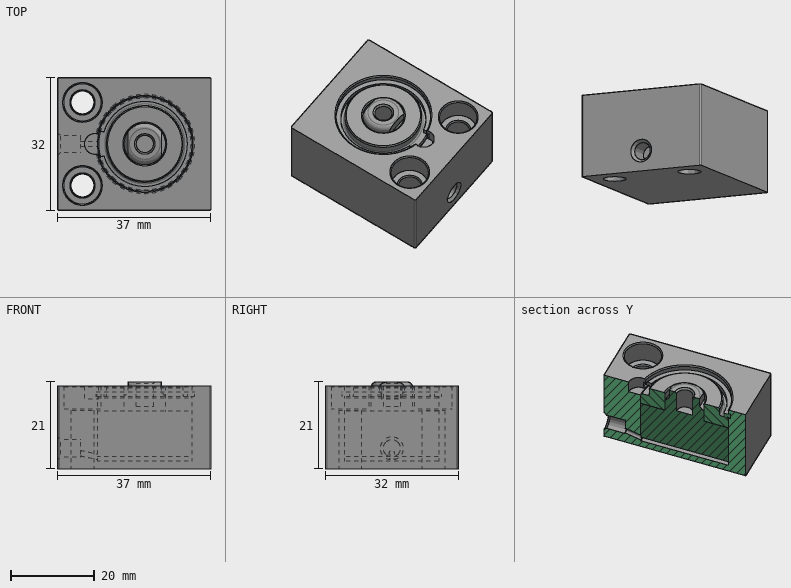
import cadquery as cq
import math

length = 37.0
width = 32.0
height = 20.0
corner_radius = 0.4
edge_break = 0.3

bore_x = 21.0
bore_diameter = 22.8
bore_floor = 2.0

ring_top = height - 1.4
ring_thickness = 1.2
ring_bottom = ring_top - ring_thickness
ring_outer_diameter = 24.0
ring_inner_diameter = 20.5
ring_gap_angle = 32.5
cap_top = height - 0.2
cap_boss_diameter = 18.5
cap_fillet = 0.37
cap_bottom = 14.0

notch_x = 9.0
notch_diameter = 5.0
notch_floor = ring_bottom - 0.55

mount_x = 6.0
mount_spacing = 20.0
mount_diameter = 5.5
counterbore_diameter = 9.0
counterbore_depth = 5.6

port_z = 5.0
port_diameter = 4.15
port_depth = 5.5
port_chamfer = 0.7
feed_diameter = 1.3
feed_z = 3.8
feed_angle = 12.0
feed_length = 5.55
feed_overlap = 0.37

rod_diameter = 10.0
rod_top = 21.0
rod_fillet = 1.3
piston_bottom = bore_floor + 1.0
end_hole_diameter = 4.15
end_hole_depth = 6.0
end_hole_chamfer = 0.4
flats_width = 8.0
flats_bottom = height - 1.48


def disc(diameter, bottom, top, x=bore_x, y=0.0):
    """Upright cylinder between two heights."""
    return cq.Workplane("XY", origin=(x, y, bottom)).circle(diameter / 2).extrude(top - bottom)


def countersink(diameter, top, depth, x=bore_x, y=0.0):
    """Cone cutter for a 45 degree break at the upper rim of a hole."""
    radius = diameter / 2
    cone = cq.Solid.makeCone(radius, radius + depth, depth, cq.Vector(x, y, top - depth))
    return cq.Workplane(obj=cone)


def mounting_hole(y):
    """Through hole with a counterbore, both with broken upper rims."""
    seat = height - counterbore_depth
    hole = disc(mount_diameter, 0, seat, mount_x, y)
    hole = hole.union(countersink(mount_diameter, seat, edge_break, mount_x, y))
    hole = hole.union(disc(counterbore_diameter, seat, height, mount_x, y))
    return hole.union(countersink(counterbore_diameter, height, edge_break, mount_x, y))


def side_port():
    """Blind port in the -X face and the feed hole sloping down into the bore."""
    radius = port_diameter / 2
    along_x = cq.Vector(1, 0, 0)
    port = cq.Solid.makeCylinder(radius, port_depth, cq.Vector(0, 0, port_z), along_x)
    mouth = cq.Solid.makeCone(
        radius + port_chamfer, radius, port_chamfer, cq.Vector(0, 0, port_z), along_x
    )
    angle = math.radians(feed_angle)
    feed = cq.Solid.makeCylinder(
        feed_diameter / 2,
        feed_length,
        cq.Vector(port_depth - feed_overlap, 0, feed_z + feed_overlap * math.tan(angle)),
        cq.Vector(math.cos(angle), 0, -math.sin(angle)),
    )
    return cq.Workplane(obj=port).union(cq.Workplane(obj=mouth)).union(cq.Workplane(obj=feed))


def make_housing():
    block = cq.Workplane("XY").box(length, width, height, centered=(False, True, False))
    block = block.edges("|Z").fillet(corner_radius)
    block = block.cut(disc(bore_diameter, bore_floor, height))
    block = block.cut(countersink(bore_diameter, height, edge_break))
    block = block.cut(disc(ring_outer_diameter, ring_bottom, ring_top))
    block = block.cut(disc(notch_diameter, notch_floor, height, notch_x))
    for y in (-mount_spacing / 2, mount_spacing / 2):
        block = block.cut(mounting_hole(y))
    return block.cut(side_port())


def retaining_ring():
    """Flat ring with a radial gap facing -X."""
    ring = disc(ring_outer_diameter, ring_bottom, ring_top)
    ring = ring.cut(disc(ring_inner_diameter, ring_bottom, ring_top))
    half_gap = ring_outer_diameter * math.tan(math.radians(ring_gap_angle / 2))
    gap = (
        cq.Workplane("XY", origin=(bore_x, 0, ring_bottom))
        .polyline([(0, 0), (-ring_outer_diameter, half_gap), (-ring_outer_diameter, -half_gap)])
        .close()
        .extrude(ring_thickness)
    )
    return ring.cut(gap)


def make_cap():
    """Flanged cap, with its retaining ring, around the rod."""
    flange = disc(bore_diameter, cap_bottom, ring_bottom).faces(">Z").chamfer(edge_break)
    boss = disc(cap_boss_diameter, ring_bottom, cap_top).faces(">Z").chamfer(edge_break)
    cap = flange.union(boss)
    boss_base = cq.selectors.NearestToPointSelector((bore_x, 0, ring_bottom))
    inner_edge = cq.selectors.RadiusNthSelector(0)
    cap = cap.faces(boss_base).edges(inner_edge).fillet(cap_fillet)
    cap = cap.cut(disc(rod_diameter, cap_bottom, cap_top))
    cap = cap.cut(countersink(rod_diameter, cap_top, edge_break))
    return cap.union(retaining_ring())


def wrench_flat(side):
    """Cutter for one flat, ending below in a 45 degree slope; side is -1 or 1."""
    inner = flats_width / 2
    run = rod_diameter / 2 - inner
    return (
        cq.Workplane("XZ", origin=(bore_x, 0, 0))
        .moveTo(side * inner, rod_top)
        .lineTo(side * inner, flats_bottom)
        .lineTo(side * (inner + run), flats_bottom - run)
        .lineTo(side * (inner + run), rod_top)
        .close()
        .extrude(rod_diameter / 2, both=True)
    )


def make_piston():
    """Piston head and rod with a rounded end, wrench flats and a blind hole in its end."""
    rod = disc(rod_diameter, cap_bottom, rod_top).faces(">Z").edges().fillet(rod_fillet)
    piston = disc(bore_diameter, piston_bottom, cap_bottom).union(rod)
    for side in (-1, 1):
        piston = piston.cut(wrench_flat(side))
    piston = piston.cut(disc(end_hole_diameter, rod_top - end_hole_depth, rod_top))
    return piston.cut(countersink(end_hole_diameter, rod_top, end_hole_chamfer))


housing = make_housing()
cap = make_cap()
piston = make_piston()
result = cq.Compound.makeCompound([housing.val(), cap.val(), piston.val()])